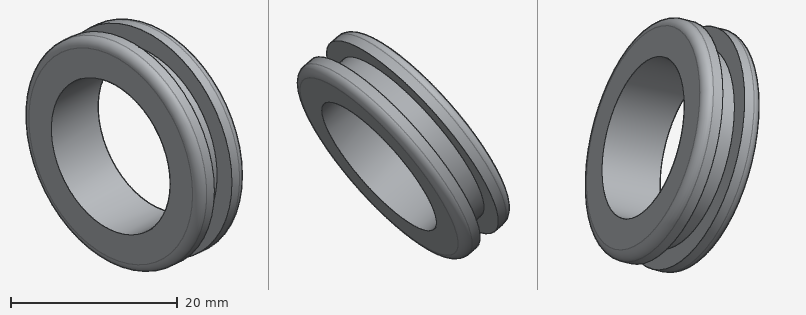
import cadquery as cq

outer_diameter = 30.0
bore_diameter = outer_diameter * 2 / 3
groove_diameter = outer_diameter * 5 / 6
width = 8.0
groove_width = 3.0
rim_radius = 1.2


def cylinder(diameter, length):
    """Cylinder centred on the origin with its axis along Y."""
    return cq.Workplane("XZ", origin=(0, length / 2, 0)).circle(diameter / 2).extrude(length)


body = cylinder(outer_diameter, width).faces("<Y or >Y").edges().fillet(rim_radius)

groove = cylinder(outer_diameter, groove_width).cut(cylinder(groove_diameter, groove_width))

bore = cylinder(bore_diameter, width)

result = body.cut(groove).cut(bore)